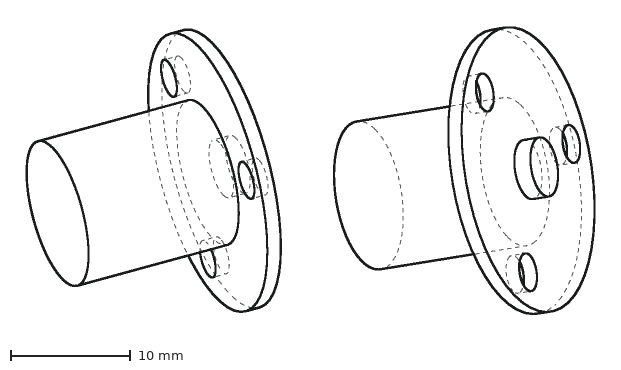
import cadquery as cq

flange_diameter = 24.0
flange_thickness = 1.25
body_diameter = 12.5
body_length = 13.75
pin_diameter = 5.0
pin_length = 1.5
hole_diameter = 3.2
hole_circle_radius = 9.0
hole_count = 3
first_hole_angle = 30.0


def cylinder_along_y(diameter, start_y, length):
    """Solid cylinder on the Y axis, growing from start_y toward +Y."""
    base = cq.Workplane("XZ", origin=(0, start_y, 0))
    return base.circle(diameter / 2).extrude(-length)


def mounting_holes():
    """Cutters for the equally spaced through holes in the flange."""
    return (
        cq.Workplane("XZ")
        .polarArray(hole_circle_radius, first_hole_angle, 360, hole_count)
        .circle(hole_diameter / 2)
        .extrude(-flange_thickness)
    )


flange = cylinder_along_y(flange_diameter, 0, flange_thickness).cut(mounting_holes())
body = cylinder_along_y(body_diameter, -body_length, body_length)
pin = cylinder_along_y(pin_diameter, flange_thickness, pin_length)

result = flange.union(body).union(pin)